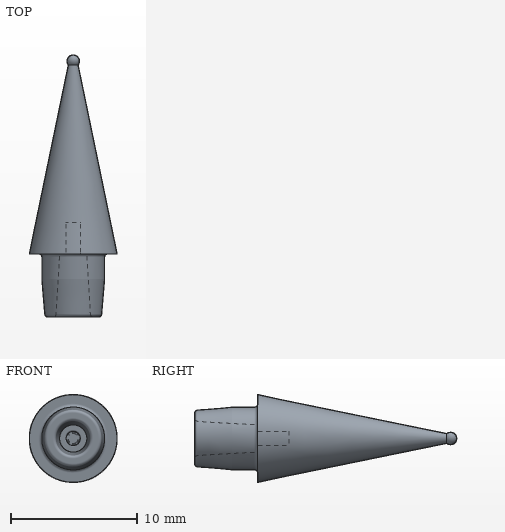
import cadquery as cq
import math

total_length = 20.8
shank_length = 5.0
shank_taper_length = 3.0

cone_base_radius = 3.5
ball_radius = 0.5
cone_tip_radius = 0.4
shank_radius = 2.5
shank_end_radius = 2.25

bore_mouth_radius = 1.37
bore_floor_radius = 1.08
bore_depth = 5.0
pilot_radius = 0.56
pilot_round = 0.1
pilot_depth = 2.5

edge_round = 0.25

end_y = -total_length / 2
shoulder_y = end_y + shank_length
taper_start_y = end_y + shank_taper_length
bore_floor_y = end_y + bore_depth
pilot_floor_y = bore_floor_y + pilot_depth
ball_center_y = total_length / 2 - ball_radius
cone_tip_y = ball_center_y - math.sqrt(ball_radius**2 - cone_tip_radius**2)


def revolve_about_y(profile):
    """Close a half profile and spin it around the Y axis."""
    return profile.close().revolve(360, (0, 0, 0), (0, 1, 0))


def make_outer_body():
    """Ball-tipped cone standing on a tapered shank."""
    return revolve_about_y(
        cq.Workplane("XY")
        .moveTo(0, end_y)
        .lineTo(shank_end_radius, end_y)
        .lineTo(shank_radius, taper_start_y)
        .lineTo(shank_radius, shoulder_y - edge_round)
        .radiusArc((shank_radius + edge_round, shoulder_y), edge_round)
        .lineTo(cone_base_radius, shoulder_y)
        .lineTo(cone_tip_radius, cone_tip_y)
        .threePointArc((ball_radius, ball_center_y), (0, ball_center_y + ball_radius))
    )


def make_bore():
    """Tapered bore with a narrower straight pilot hole in its floor."""
    return revolve_about_y(
        cq.Workplane("XY")
        .moveTo(0, end_y)
        .lineTo(bore_mouth_radius, end_y)
        .lineTo(bore_floor_radius, bore_floor_y)
        .lineTo(pilot_radius + pilot_round, bore_floor_y)
        .radiusArc((pilot_radius, bore_floor_y + pilot_round), pilot_round)
        .lineTo(pilot_radius, pilot_floor_y)
        .lineTo(0, pilot_floor_y)
    )


result = make_outer_body().cut(make_bore()).faces("<Y").edges().fillet(edge_round)